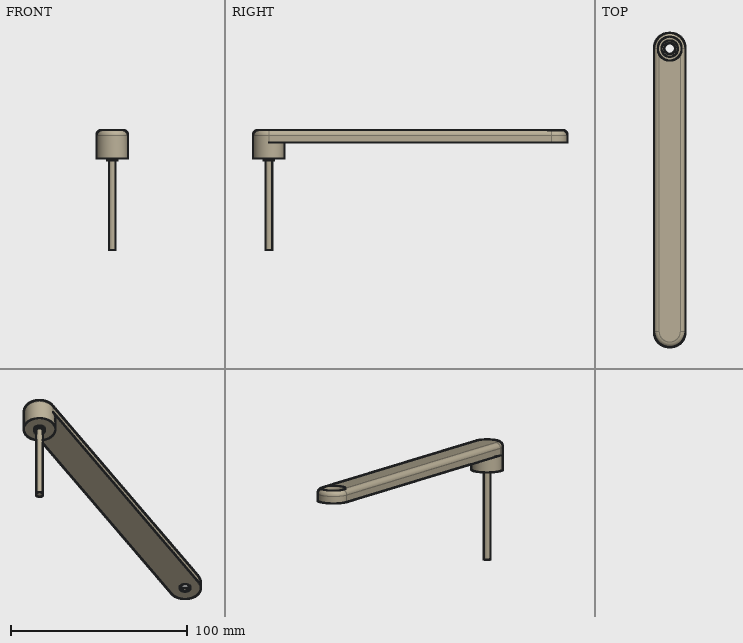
import cadquery as cq

length = 178.0
width = 18.0
height = 68.0
pivot_spacing = length - width
pin_y = -pivot_spacing / 2
hole_y = pivot_spacing / 2

arm_thickness = 7.1
edge_radius = 3.0
boss_bottom = -16.2

collar_diameter = 6.0
collar_height = 1.0
pin_diameter = 4.0

recess_diameter = 13.5
recess_depth = 4.5
sink_diameter = 9.3
hole_diameter = 6.0
sink_depth = (sink_diameter - hole_diameter) / 2


def cylinder(diameter, y, bottom, top):
    """Vertical cylinder centred on X = 0."""
    return cq.Workplane("XY", origin=(0, y, bottom)).circle(diameter / 2).extrude(top - bottom)


def make_arm():
    """Flat bar with round ends and a rounded upper edge."""
    bar = (
        cq.Workplane("XY", origin=(0, 0, -arm_thickness))
        .slot2D(length, width, 90)
        .extrude(arm_thickness)
    )
    return bar.faces(">Z").edges().fillet(edge_radius)


def make_pin():
    """Boss, collar and slim pin stacked below the arm."""
    boss = cylinder(width, pin_y, boss_bottom, -arm_thickness)
    collar = cylinder(collar_diameter, pin_y, boss_bottom - collar_height, boss_bottom)
    pin = cylinder(pin_diameter, pin_y, -height, boss_bottom)
    return boss.union(collar).union(pin)


def make_screw_hole():
    """Recess with a countersunk through hole in its floor."""
    recess = cylinder(recess_diameter, hole_y, -recess_depth, 0)
    hole = cylinder(hole_diameter, hole_y, -arm_thickness, 0)
    sink = cq.Workplane("XY").add(
        cq.Solid.makeCone(
            hole_diameter / 2,
            sink_diameter / 2,
            sink_depth,
            pnt=cq.Vector(0, hole_y, -recess_depth - sink_depth),
        )
    )
    return recess.union(hole).union(sink)


result = make_arm().union(make_pin()).cut(make_screw_hole())